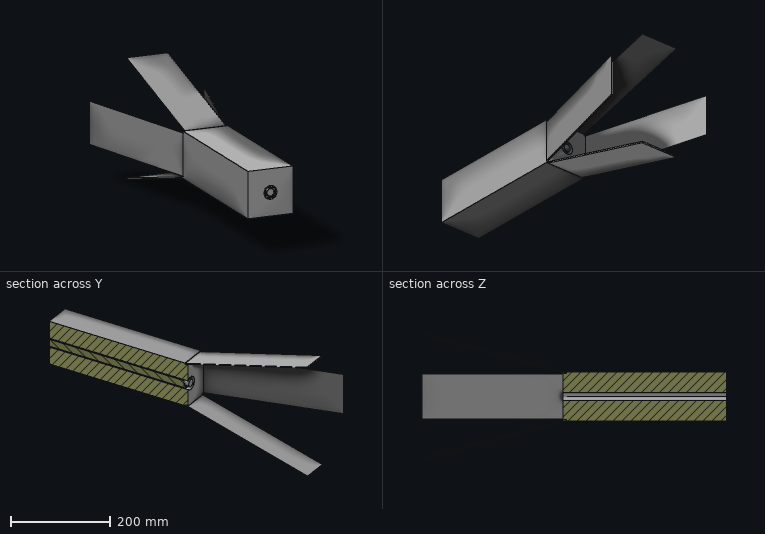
import cadquery as cq
import math


OVERALL_LENGTH = 615.5
OVERALL_SPAN = 255.5

DOOR_WIDTH = 91.5
DOOR_LENGTH = 301.0
DOOR_THICKNESS = 3.0
DOOR_ANGLE = 15.0
DOOR_COUNT = 4

DOOR_SIDE_MARGIN = 4.1
BOX_WIDTH = DOOR_WIDTH + 2 * DOOR_SIDE_MARGIN
BOX_LENGTH = 330.5
BOX_MOUTH_X = OVERALL_LENGTH - BOX_LENGTH
BORE_DIAMETER = 28.0

ROCKET_RADIUS = 8.0
NOSE_HEIGHT = 3.0
FIN_COUNT = 4
FIN_SETBACK = 9.0
FIN_TIP_RADIUS = 13.0
FIN_THICKNESS = 0.5
CROSS_PLATE_RADIUS = 10.5
CROSS_PLATE_WIDTH = 17.0


def turned_about_x(shape, index, count):
    """The shape turned to place number index of count even places around the X axis."""
    return shape.rotate((0, 0, 0), (1, 0, 0), 360.0 * index / count)


def make_door(index):
    """A flat plate whose root is sunk into the box mouth and whose tip leans outward."""
    plate = cq.Workplane("XY").box(
        DOOR_LENGTH, DOOR_WIDTH, DOOR_THICKNESS, centered=(False, True, False)
    )
    tip_x = DOOR_THICKNESS * math.sin(math.radians(DOOR_ANGLE))
    top_door = (
        plate.translate((0, 0, -DOOR_THICKNESS))
        .rotate((0, 0, 0), (0, 1, 0), DOOR_ANGLE)
        .translate((tip_x, 0, OVERALL_SPAN / 2))
    )
    return turned_about_x(top_door, index, DOOR_COUNT)


def make_box(doors):
    """A square block with a bore right through and a notch in its mouth for each door root."""
    box = (
        cq.Workplane("YZ", origin=(BOX_MOUTH_X, 0, 0))
        .rect(BOX_WIDTH, BOX_WIDTH)
        .circle(BORE_DIAMETER / 2)
        .extrude(BOX_LENGTH)
    )
    for door in doors:
        box = box.cut(door)
    return box


def make_fin(index):
    """A thin radial fin crossed by a thin plate, running from inside the mouth to the far end."""
    fin_start_x = BOX_MOUTH_X + FIN_SETBACK
    fin_length = OVERALL_LENGTH - fin_start_x
    radial_plate = (
        cq.Workplane("XY")
        .box(fin_length, FIN_THICKNESS, FIN_TIP_RADIUS, centered=(False, True, False))
        .translate((fin_start_x, 0, 0))
    )
    cross_plate = (
        cq.Workplane("XY")
        .box(fin_length, CROSS_PLATE_WIDTH, FIN_THICKNESS, centered=(False, True, True))
        .translate((fin_start_x, 0, CROSS_PLATE_RADIUS))
    )
    return turned_about_x(radial_plate.union(cross_plate), index, FIN_COUNT)


def make_rocket():
    """A finned round rod whose shallow domed nose stands out of the box mouth."""
    nose_tip_x = BOX_MOUTH_X - NOSE_HEIGHT
    nose_sphere_radius = (ROCKET_RADIUS**2 + NOSE_HEIGHT**2) / (2 * NOSE_HEIGHT)
    nose_middle_angle = math.asin(ROCKET_RADIUS / nose_sphere_radius) / 2
    nose_middle = (
        nose_tip_x + nose_sphere_radius * (1 - math.cos(nose_middle_angle)),
        nose_sphere_radius * math.sin(nose_middle_angle),
    )
    rocket = (
        cq.Workplane("XY")
        .moveTo(nose_tip_x, 0)
        .threePointArc(nose_middle, (BOX_MOUTH_X, ROCKET_RADIUS))
        .lineTo(OVERALL_LENGTH, ROCKET_RADIUS)
        .lineTo(OVERALL_LENGTH, 0)
        .close()
        .revolve(360, (0, 0, 0), (1, 0, 0))
    )
    for index in range(FIN_COUNT):
        rocket = rocket.union(make_fin(index))
    return rocket


doors = [make_door(index) for index in range(DOOR_COUNT)]
box = make_box(doors)
rocket = make_rocket()

result = cq.Compound.makeCompound([box.val(), rocket.val(), *[door.val() for door in doors]])